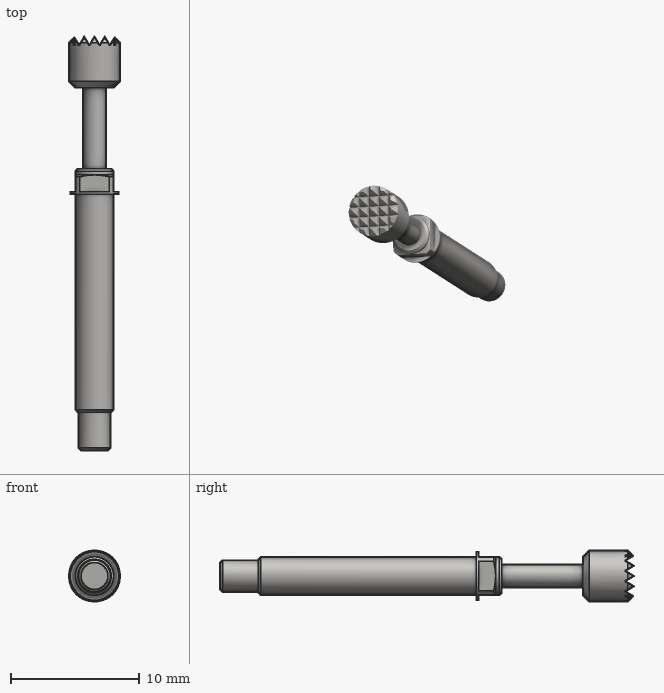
import cadquery as cq
import math

FRONT_LENGTH = 12.3
BARREL_LENGTH = 17.0
TAIL_LENGTH = 3.0

HEAD_RADIUS = 2.0
HEAD_LENGTH = 4.0
HEAD_REAR_CHAMFER = 0.5
CROWN_BEVEL = 0.5
TOOTH_PITCH = 0.8
TEETH_ACROSS = 5
GROOVE_ANGLE = 60.0
GROOVE_REACH = HEAD_RADIUS + 1.0

PLUNGER_RADIUS = 0.9

BARREL_RADIUS = 1.5
COLLAR_FRONT = 2.0
COLLAR_CHAMFER = 0.2
SQUARE_FRONT = 1.5
SQUARE_WIDTH = 2 * BARREL_RADIUS
FLANGE_RADIUS = 1.9
SQUARE_CORNER_RADIUS = FLANGE_RADIUS
SQUARE_LEAD_ANGLE = 20.0
FLANGE_THICKNESS = 0.2

BARREL_CHAMFER = 0.2
TAIL_RADIUS = 1.25
TAIL_CHAMFER = 0.2

TIP_Y = FRONT_LENGTH
HEAD_REAR_Y = TIP_Y - HEAD_LENGTH
BARREL_REAR_Y = -BARREL_LENGTH
TAIL_REAR_Y = BARREL_REAR_Y - TAIL_LENGTH


def turned(profile):
    """Revolve (radius, y) points, closed along the axis, about Y."""
    return cq.Workplane("XY").polyline(profile).close().revolve(360, (0, 0, 0), (0, 1, 0))


def head_blank():
    return turned([
        (0, HEAD_REAR_Y),
        (HEAD_RADIUS - HEAD_REAR_CHAMFER, HEAD_REAR_Y),
        (HEAD_RADIUS, HEAD_REAR_Y + HEAD_REAR_CHAMFER),
        (HEAD_RADIUS, TIP_Y - CROWN_BEVEL),
        (HEAD_RADIUS - CROWN_BEVEL, TIP_Y),
        (0, TIP_Y),
    ])


def tooth_groove(offset):
    """V groove running along Z, centred at X = offset; neighbours meet at the tooth tips."""
    half_width = TOOTH_PITCH / 2
    depth = half_width / math.tan(math.radians(GROOVE_ANGLE / 2))
    outline = [
        (offset - half_width, TIP_Y),
        (offset, TIP_Y - depth),
        (offset + half_width, TIP_Y),
    ]
    return cq.Workplane("XY").polyline(outline).close().extrude(GROOVE_REACH, both=True)


def serrated_head():
    head = head_blank()
    groove_count = TEETH_ACROSS - 1
    for index in range(groove_count):
        offset = (index - (groove_count - 1) / 2) * TOOTH_PITCH
        groove = tooth_groove(offset)
        head = head.cut(groove)
        head = head.cut(groove.rotate((0, 0, 0), (0, 1, 0), 90))
    return head


def plunger():
    return turned([
        (0, COLLAR_FRONT),
        (PLUNGER_RADIUS, COLLAR_FRONT),
        (PLUNGER_RADIUS, HEAD_REAR_Y),
        (0, HEAD_REAR_Y),
    ])


def barrel():
    """Collar, flange, barrel and tail as one turned body."""
    return turned([
        (0, COLLAR_FRONT),
        (BARREL_RADIUS - COLLAR_CHAMFER, COLLAR_FRONT),
        (BARREL_RADIUS, COLLAR_FRONT - COLLAR_CHAMFER),
        (BARREL_RADIUS, FLANGE_THICKNESS),
        (FLANGE_RADIUS, FLANGE_THICKNESS),
        (FLANGE_RADIUS, 0),
        (BARREL_RADIUS, 0),
        (BARREL_RADIUS, BARREL_REAR_Y + BARREL_CHAMFER),
        (BARREL_RADIUS - BARREL_CHAMFER, BARREL_REAR_Y),
        (TAIL_RADIUS, BARREL_REAR_Y),
        (TAIL_RADIUS, TAIL_REAR_Y + TAIL_CHAMFER),
        (TAIL_RADIUS - TAIL_CHAMFER, TAIL_REAR_Y),
        (0, TAIL_REAR_Y),
    ])


def square_section():
    """Square with turned corners and a conical lead at the front."""
    rise = SQUARE_CORNER_RADIUS - BARREL_RADIUS
    lead_length = rise * math.tan(math.radians(SQUARE_LEAD_ANGLE))
    envelope = turned([
        (0, 0),
        (SQUARE_CORNER_RADIUS, 0),
        (SQUARE_CORNER_RADIUS, SQUARE_FRONT - lead_length),
        (BARREL_RADIUS, SQUARE_FRONT),
        (0, SQUARE_FRONT),
    ])
    square_bar = cq.Workplane("XY").box(SQUARE_WIDTH, 2 * SQUARE_FRONT, SQUARE_WIDTH)
    return envelope.intersect(square_bar)


result = barrel().union(square_section()).union(plunger()).union(serrated_head())